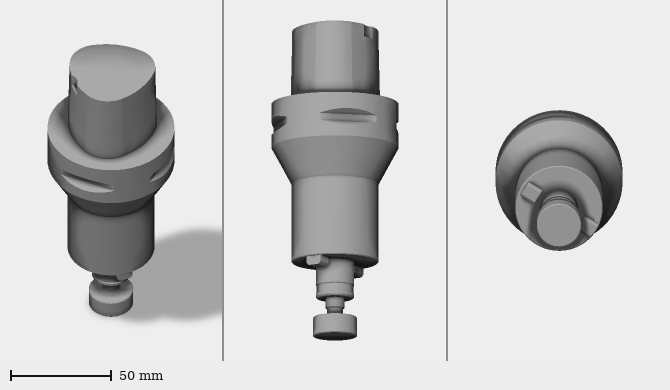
import cadquery as cq
import math

TOTAL_HEIGHT = 155
FLANGE_TOP = 117.2
FLANGE_BOTTOM = 95.2
CONE_BOTTOM = 76.9
BODY_BOTTOM = 37.4
SHANK_BOTTOM = 25.3
COLLAR_TOP = 21.5
COLLAR_BOTTOM = 19.0
STEM_STEP = 13.6
HEAD_TOP = 9.6

FLANGE_RADIUS = 63.0 / 2
BODY_RADIUS = 43.3 / 2
SHANK_RADIUS = 19.0 / 2
GROOVE_RADIUS = 18.1 / 2
STEM_RADIUS = 9.5 / 2
NECK_RADIUS = 7.9 / 2
HEAD_RADIUS = 22.0 / 2

EDGE_CHAMFER = 0.5
COLLAR_CHAMFER = 0.8
NECK_FILLET = 1.9

LOBE_REACH = 23.4
FLANK_REACH = 20.5
LOBE_RADIUS = 14.7
TAPER_INSET = 1.0

NOTCH_HEIGHT = 6.2
NOTCH_RADIUS = 6.0
NOTCH_FLOOR_Y = -18.0

SLOT_COUNT = 4
SLOT_START_ANGLE = 45
SLOT_Z = 105.1
SLOT_FLOOR_DISTANCE = 27.9
SLOT_FLOOR_HEIGHT = 3.4
SLOT_MOUTH_HEIGHT = 8.0

KEY_WIDTH = 7.9
KEY_INNER_X = 12.4
KEY_OUTER_X = 20.3
KEY_HEIGHT = 4.5
KEY_CHAMFER = 1.2
KEY_EMBED = 1.5


def polar(radius, degrees):
    angle = math.radians(degrees)
    return (radius * math.cos(angle), radius * math.sin(angle))


def turned_body():
    neck_step = STEM_RADIUS - NECK_RADIUS
    fillet_z = HEAD_TOP + NECK_FILLET
    fillet_offset = NECK_FILLET * (1 - math.sqrt(0.5))
    profile = (
        cq.Workplane("XZ")
        .lineTo(HEAD_RADIUS - EDGE_CHAMFER, 0)
        .lineTo(HEAD_RADIUS, EDGE_CHAMFER)
        .lineTo(HEAD_RADIUS, HEAD_TOP - EDGE_CHAMFER)
        .lineTo(HEAD_RADIUS - EDGE_CHAMFER, HEAD_TOP)
        .lineTo(NECK_RADIUS + NECK_FILLET, HEAD_TOP)
        .threePointArc(
            (NECK_RADIUS + fillet_offset, HEAD_TOP + fillet_offset),
            (NECK_RADIUS, fillet_z),
        )
        .lineTo(NECK_RADIUS, STEM_STEP)
        .lineTo(STEM_RADIUS, STEM_STEP + neck_step)
        .lineTo(STEM_RADIUS, COLLAR_BOTTOM)
        .lineTo(SHANK_RADIUS - COLLAR_CHAMFER, COLLAR_BOTTOM)
        .lineTo(SHANK_RADIUS, COLLAR_BOTTOM + COLLAR_CHAMFER)
        .lineTo(SHANK_RADIUS, COLLAR_TOP - EDGE_CHAMFER)
        .lineTo(GROOVE_RADIUS, COLLAR_TOP)
        .lineTo(GROOVE_RADIUS, SHANK_BOTTOM)
        .lineTo(SHANK_RADIUS, SHANK_BOTTOM + EDGE_CHAMFER)
        .lineTo(SHANK_RADIUS, BODY_BOTTOM)
        .lineTo(BODY_RADIUS - EDGE_CHAMFER, BODY_BOTTOM)
        .lineTo(BODY_RADIUS, BODY_BOTTOM + EDGE_CHAMFER)
        .lineTo(BODY_RADIUS, CONE_BOTTOM)
        .lineTo(FLANGE_RADIUS, FLANGE_BOTTOM)
        .lineTo(FLANGE_RADIUS, FLANGE_TOP)
        .lineTo(0, FLANGE_TOP)
        .close()
    )
    return profile.revolve(360, (0, 0, 0), (0, 1, 0))


def lobed_outline(plane, inset):
    """Three small lobe arcs joined tangentially by three wide flank arcs."""
    lobe_offset = LOBE_REACH - LOBE_RADIUS
    reach_gap = FLANK_REACH - LOBE_RADIUS
    flank_offset = (lobe_offset**2 - reach_gap**2) / (2 * reach_gap - lobe_offset)

    def joint(flank_angle, lobe_angle):
        flank_x, flank_y = polar(-flank_offset, flank_angle)
        lobe_x, lobe_y = polar(lobe_offset, lobe_angle)
        direction = math.degrees(math.atan2(lobe_y - flank_y, lobe_x - flank_x))
        dx, dy = polar(LOBE_RADIUS - inset, direction)
        return (lobe_x + dx, lobe_y + dy)

    outline = plane.moveTo(*joint(30, 90))
    for lobe_angle in (90, 210, 330):
        flank_angle = lobe_angle + 60
        outline = outline.threePointArc(
            polar(LOBE_REACH - inset, lobe_angle), joint(flank_angle, lobe_angle)
        )
        outline = outline.threePointArc(
            polar(FLANK_REACH - inset, flank_angle), joint(flank_angle, lobe_angle + 120)
        )
    return outline.close()


def lobed_shank():
    base = lobed_outline(cq.Workplane("XY").workplane(offset=FLANGE_TOP), 0)
    top_plane = base.workplane(offset=TOTAL_HEIGHT - FLANGE_TOP)
    shank = lobed_outline(top_plane, TAPER_INSET).loft(ruled=True)
    notch = (
        cq.Workplane("XY")
        .workplane(offset=TOTAL_HEIGHT - NOTCH_HEIGHT)
        .center(0, NOTCH_FLOOR_Y - NOTCH_RADIUS)
        .circle(NOTCH_RADIUS)
        .extrude(NOTCH_HEIGHT)
    )
    return shank.cut(notch)


def gripper_slot(angle):
    """Flat-floored slot with sloping sides, cut straight across the flange."""
    half_floor = SLOT_FLOOR_HEIGHT / 2
    half_mouth = SLOT_MOUTH_HEIGHT / 2
    cutter = (
        cq.Workplane("XZ")
        .moveTo(SLOT_FLOOR_DISTANCE, SLOT_Z - half_floor)
        .lineTo(FLANGE_RADIUS, SLOT_Z - half_mouth)
        .lineTo(FLANGE_RADIUS, SLOT_Z + half_mouth)
        .lineTo(SLOT_FLOOR_DISTANCE, SLOT_Z + half_floor)
        .close()
        .extrude(FLANGE_RADIUS, both=True)
    )
    return cutter.rotate((0, 0, 0), (0, 0, 1), angle)


def drive_key(side):
    """Key on the +X (side = 1) or -X (side = -1) half of the body's end face."""
    height = KEY_HEIGHT + KEY_EMBED
    return (
        cq.Workplane("XY")
        .box(KEY_OUTER_X - KEY_INNER_X, KEY_WIDTH, height)
        .faces("<Z")
        .edges("|X")
        .chamfer(KEY_CHAMFER)
        .translate((side * (KEY_INNER_X + KEY_OUTER_X) / 2, 0, BODY_BOTTOM + KEY_EMBED - height / 2))
    )


result = turned_body().union(lobed_shank())
for index in range(SLOT_COUNT):
    result = result.cut(gripper_slot(SLOT_START_ANGLE + index * 360 / SLOT_COUNT))
for side in (-1, 1):
    result = result.union(drive_key(side))